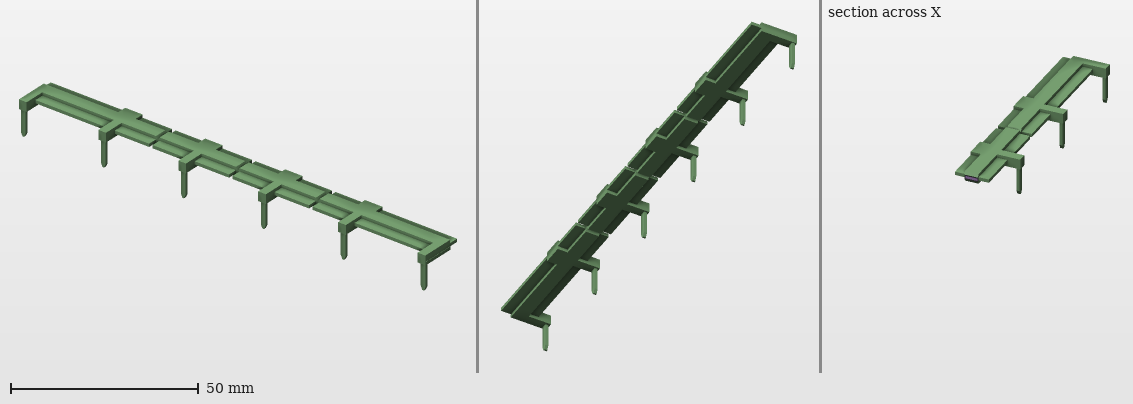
import cadquery as cq

PITCH = 27.0
STATION_COUNT = 6
END_MARGIN = 1.1
RAIL_LENGTH = (STATION_COUNT - 1) * PITCH + 2 * END_MARGIN

RAIL_WIDTH = 4.0
RAIL_THICKNESS = 3.0
WEB_WIDTH = 3.0
WEB_THICKNESS = 1.0
WEB_BOTTOM = (RAIL_THICKNESS - WEB_THICKNESS) / 2
RAIL_BACK = RAIL_WIDTH
WEB_FRONT = -WEB_WIDTH
WEB_BACK = RAIL_BACK + WEB_WIDTH

ARM_WIDTH = 2.6
ARM_OVERHANG = 3.8
ARM_FRONT = WEB_FRONT - ARM_OVERHANG
BLOCK_WIDTH = 5.9

PIN_WIDTH = 1.6
PIN_DEPTH = 0.9
PIN_LENGTH = 8.24
TIP_LENGTH = 1.2
TIP_WIDTH = 0.5
PIN_SETBACK = 0.9
PIN_Y = ARM_FRONT + PIN_SETBACK

GAP_WIDTH = 1.2
GROOVE_DEPTH = WEB_BOTTOM

LIP_LENGTH = 0.1


def box(x_range, y_range, z_range):
    """Axis-aligned box between pairs of limits."""
    size = [high - low for low, high in (x_range, y_range, z_range)]
    corner = (x_range[0], y_range[0], z_range[0])
    return cq.Workplane("XY").box(*size, centered=False).translate(corner)


def centred(middle, width):
    """Limits of a span of the given width about its middle."""
    return (middle - width / 2, middle + width / 2)


FULL_HEIGHT = (0, RAIL_THICKNESS)
WEB_HEIGHT = (WEB_BOTTOM, WEB_BOTTOM + WEB_THICKNESS)


def make_rail():
    """Full-thickness rail with a centred web on each side."""
    rail = box((0, RAIL_LENGTH), (0, RAIL_BACK), FULL_HEIGHT)
    webs = box((0, RAIL_LENGTH), (WEB_FRONT, WEB_BACK), WEB_HEIGHT)
    return rail.union(webs)


def make_gap(x):
    """Cutter between two segments: slots through the webs, V grooves above and below the rail."""
    span = centred(x, GAP_WIDTH)
    front_slot = box(span, (WEB_FRONT, 0), WEB_HEIGHT)
    back_slot = box(span, (RAIL_BACK, WEB_BACK), WEB_HEIGHT)
    left, right = span
    lower_groove = [(left, 0), (x, GROOVE_DEPTH), (right, 0)]
    upper_groove = [(point_x, RAIL_THICKNESS - point_z) for point_x, point_z in lower_groove]
    cutter = front_slot.union(back_slot)
    for triangle in (lower_groove, upper_groove):
        cutter = cutter.union(cq.Workplane("XZ").polyline(triangle).close().extrude(-RAIL_WIDTH))
    return cutter


def make_arm(x):
    """Arm reaching forward from the rail; the end arms are flush with the rail ends."""
    half_width = ARM_WIDTH / 2
    middle = min(max(x, half_width), RAIL_LENGTH - half_width)
    return box(centred(middle, ARM_WIDTH), (ARM_FRONT, RAIL_BACK), FULL_HEIGHT)


def make_block(x):
    """Full-thickness block over the rear web."""
    return box(centred(x, BLOCK_WIDTH), (0, WEB_BACK), FULL_HEIGHT)


def make_pin(x):
    """Rectangular pin whose tip narrows in width only."""
    half_width = PIN_WIDTH / 2
    half_tip = TIP_WIDTH / 2
    shoulder = TIP_LENGTH - PIN_LENGTH
    outline = [
        (-half_width, 0),
        (half_width, 0),
        (half_width, shoulder),
        (half_tip, -PIN_LENGTH),
        (-half_tip, -PIN_LENGTH),
        (-half_width, shoulder),
    ]
    profile = cq.Workplane("XZ", origin=(x, PIN_Y, 0)).polyline(outline).close()
    return profile.extrude(PIN_DEPTH / 2, both=True)


def make_lip():
    """Low lip along the right end of the rail and its arm."""
    return box((RAIL_LENGTH, RAIL_LENGTH + LIP_LENGTH), (ARM_FRONT, RAIL_BACK), (0, WEB_BOTTOM))


stations = [END_MARGIN + index * PITCH for index in range(STATION_COUNT)]
inner_stations = stations[1:-1]

result = make_rail()
for station in inner_stations[:-1]:
    result = result.cut(make_gap(station + PITCH / 2))
for station in inner_stations:
    result = result.union(make_block(station))
for station in stations:
    result = result.union(make_arm(station)).union(make_pin(station))
result = result.union(make_lip())